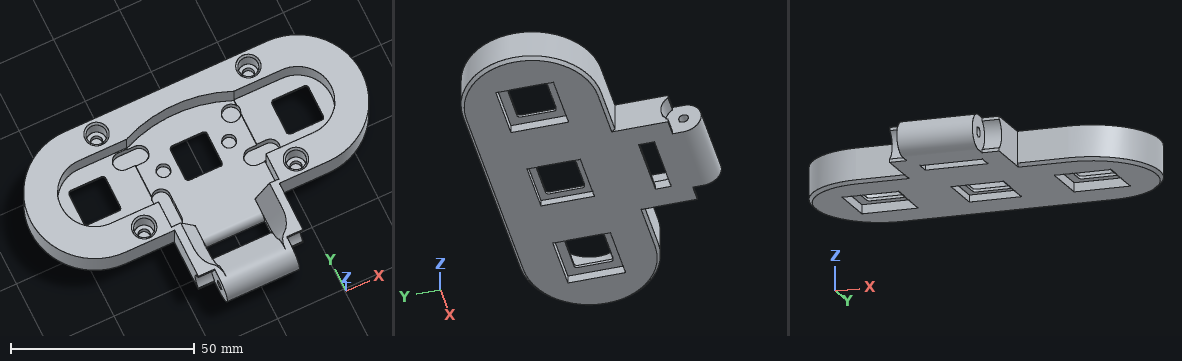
import cadquery as cq
import math

length = 100.4
depth = 62.0
thickness = 10.0
body_radius = 19.5
end_center_x = length / 2 - body_radius
bottom_chamfer = 0.9

side_recess_radius = 10.1
side_floor_z = 3.4
center_half_width = 16.3
center_floor_z = 2.8
center_front_y = -18.3
crown_y = 13.6

window_size = 11.0
window_corner_radius = 0.9
window_lip = 0.8

pocket_width = 5.3
pocket_floor_z = 0.5
round_pocket_center = (14.0, 7.1)
long_pockets = (
    ((-16.5, 7.1), 10.4, 0),
    ((16.6, -6.9), 10.4, 0),
    ((-14.0, -10.6), 12.7, 90),
)
pin_hole_diameter = 4.0
pin_hole_x = 9.9

screw_x = 23.0
screw_y = 15.1
screw_head_diameter = 5.7
screw_head_depth = 6.0
screw_mouth_chamfer = 0.6
screw_shank_diameter = 3.4
screw_shank_depth = 8.0

arm_half_width = 15.9
arm_end_y = -34.4
barrel_radius = thickness / 2
barrel_y = body_radius - depth + barrel_radius
barrel_z = thickness / 2
barrel_half_length = 10.9
barrel_clearance_radius = 5.1
hinge_pin_diameter = 2.7

trough_half_width = 9.0
trough_top_half_width = 13.5
trough_slot_low_y = -28.8
trough_slot_high_y = -24.4
trough_lip_radius = 2.0

overcut = 1.0


def stadium(radius, z_low, z_high):
    """Stadium prism around the two end centers of the body."""
    return (
        cq.Workplane("XY", origin=(0, 0, z_low))
        .slot2D(2 * (end_center_x + radius), 2 * radius)
        .extrude(z_high - z_low)
    )


def block(x_half, y_low, y_high, z_low, z_high):
    """Box centered on X between the given Y and Z limits."""
    return cq.Workplane("XY").box(
        2 * x_half, y_high - y_low, z_high - z_low, centered=(True, False, False)
    ).translate((0, y_low, z_low))


def x_cylinder(radius, half_length):
    """Cylinder along X on the hinge axis."""
    return (
        cq.Workplane("YZ", origin=(-half_length, 0, 0))
        .center(barrel_y, barrel_z)
        .circle(radius)
        .extrude(2 * half_length)
    )


def hinge_arm():
    """Arm with a barrel at its end; beside the barrel the arm is hollowed about its axis."""
    arm = block(arm_half_width, arm_end_y, 0, 0, thickness)
    arm = arm.cut(x_cylinder(barrel_clearance_radius, arm_half_width + overcut))
    neck = block(barrel_half_length, barrel_y, 0, 0, thickness)
    return arm.union(neck).union(x_cylinder(barrel_radius, barrel_half_length))


def recess():
    """Side recess plus the deeper center recess with a crowned back wall."""
    top = thickness + overcut
    center = (
        cq.Workplane("XY", origin=(0, 0, center_floor_z))
        .moveTo(-center_half_width, center_front_y)
        .lineTo(-center_half_width, side_recess_radius)
        .threePointArc((0, crown_y), (center_half_width, side_recess_radius))
        .lineTo(center_half_width, center_front_y)
        .close()
        .extrude(top - center_floor_z)
    )
    return stadium(side_recess_radius, side_floor_z, top).union(center)


hollow_radius = thickness - center_floor_z
hollow_y = barrel_y + math.sqrt((barrel_radius + hollow_radius) ** 2 - barrel_radius ** 2)
tangent_share = barrel_radius / (barrel_radius + hollow_radius)
tangent_y = barrel_y + tangent_share * (hollow_y - barrel_y)
tangent_z = barrel_z + tangent_share * (thickness - barrel_z)


def arc_middle(center, start, end):
    """Point halfway along the short arc from start to end about center."""
    y = (start[0] + end[0]) / 2 - center[0]
    z = (start[1] + end[1]) / 2 - center[1]
    radius = math.hypot(start[0] - center[0], start[1] - center[1])
    stretch = radius / math.hypot(y, z)
    return (center[0] + y * stretch, center[1] + z * stretch)


def trough_profile(plane):
    """Closed YZ outline of the trough, open above the top face."""
    start_y = center_front_y + overcut
    hollow_start = (hollow_y, center_floor_z)
    tangent = (tangent_y, tangent_z)
    barrel_top = (barrel_y, thickness)
    return (
        plane.moveTo(start_y, thickness + overcut)
        .lineTo(start_y, center_floor_z)
        .lineTo(*hollow_start)
        .threePointArc(arc_middle((hollow_y, thickness), hollow_start, tangent), tangent)
        .threePointArc(arc_middle((barrel_y, barrel_z), tangent, barrel_top), barrel_top)
        .lineTo(barrel_y, thickness + overcut)
        .close()
    )


def trough():
    """Trough with side walls that lean outwards along one slanted direction."""
    middle = trough_profile(
        cq.Workplane("YZ", origin=(-trough_half_width, 0, 0))
    ).extrude(2 * trough_half_width)
    lower = trough_profile(cq.Workplane("YZ", origin=(trough_half_width, 0, 0))).wire().val()
    upper = lower.translate(
        cq.Vector(trough_top_half_width - trough_half_width, 0, thickness - center_floor_z)
    )
    side = cq.Workplane(cq.Solid.makeLoft([lower, upper], True))
    return middle.union(side).union(side.mirror("YZ"))


def windows():
    """Three windows in a row with relief pockets below."""
    cuts = cq.Workplane("XY")
    floors = ((-end_center_x, side_floor_z), (0, center_floor_z), (end_center_x, side_floor_z))
    for x, floor_z in floors:
        opening = (
            cq.Workplane("XY", origin=(x, 0, 0))
            .rect(window_size, window_size)
            .extrude(floor_z + overcut)
            .edges("|Z")
            .fillet(window_corner_radius)
        )
        relief_depth = floor_z - window_lip
        relief_size = window_size + 2 * relief_depth
        relief = (
            cq.Workplane("XY", origin=(x, 0, 0))
            .rect(relief_size, relief_size)
            .extrude(relief_depth)
        )
        cuts = cuts.union(opening).union(relief)
    return cuts


def floor_pockets():
    """Round-ended pockets, one round pocket and two pin holes in the recess floor."""
    height = side_floor_z - pocket_floor_z
    floor = cq.Workplane("XY", origin=(0, 0, pocket_floor_z))
    cuts = floor.center(*round_pocket_center).circle(pocket_width / 2).extrude(height)
    for center, pocket_length, direction in long_pockets:
        pocket = floor.center(*center).slot2D(pocket_length, pocket_width, direction)
        cuts = cuts.union(pocket.extrude(height))
    pins = floor.pushPoints([(-pin_hole_x, 0), (pin_hole_x, 0)])
    return cuts.union(pins.circle(pin_hole_diameter / 2).extrude(height))


def cut_screw_holes(part):
    """Cut four blind stepped screw holes with a chamfered mouth."""
    head_radius = screw_head_diameter / 2
    mouth_radius = head_radius + screw_mouth_chamfer
    profile = [
        (0, 0),
        (mouth_radius, 0),
        (head_radius, -screw_mouth_chamfer),
        (head_radius, -screw_head_depth),
        (screw_shank_diameter / 2, -screw_head_depth),
        (screw_shank_diameter / 2, -screw_shank_depth),
        (0, -screw_shank_depth),
    ]
    hole = cq.Workplane("XZ").polyline(profile).close().revolve(360, (0, 0), (0, 1))
    for x in (-screw_x, screw_x):
        for y in (-screw_y, screw_y):
            part = part.cut(hole.translate((x, y, thickness)))
    return part


def cut_trough_slot(part):
    """Cut a through slot across the trough floor and round its two upper lips."""
    slot_top = thickness / 2
    slot = block(trough_half_width, trough_slot_low_y, trough_slot_high_y, -overcut, slot_top)
    margin = trough_lip_radius / 4
    lips = cq.selectors.BoxSelector(
        (-margin, trough_slot_low_y - margin, center_floor_z - margin),
        (margin, trough_slot_high_y + margin, slot_top),
    )
    return part.cut(slot).edges(lips).fillet(trough_lip_radius)


body = stadium(body_radius, 0, thickness).faces("<Z").edges().chamfer(bottom_chamfer)
body = body.union(hinge_arm())
body = body.cut(recess()).cut(trough())
body = cut_trough_slot(body)
body = body.cut(windows()).cut(floor_pockets())
body = cut_screw_holes(body)
result = body.cut(x_cylinder(hinge_pin_diameter / 2, barrel_half_length + overcut))